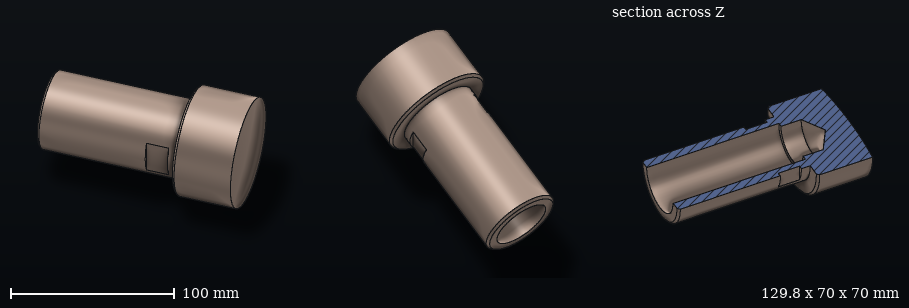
import cadquery as cq
import math

total_length = 129.8
head_diameter = 70.0
shank_diameter = 50.0
shank_length = 90.1
dome_height = 2.0
edge_chamfer = 1.5

bore_diameter = 36.0
bore_depth = shank_length
inner_bore_diameter = 30.0
inner_bore_depth = 103.8
drill_point_angle = 118.0

flat_start = 69.8
flat_length = 14.3
across_flats = 44.9

head_radius = head_diameter / 2
shank_radius = shank_diameter / 2
bore_radius = bore_diameter / 2
inner_bore_radius = inner_bore_diameter / 2


def make_body():
    """Revolve the outer profile, ending in a shallow spherical dome."""
    dome_edge = total_length - dome_height
    dome_radius = (head_radius**2 + dome_height**2) / (2 * dome_height)
    mid_radius = head_radius / 2
    mid_x = total_length - dome_radius + math.sqrt(dome_radius**2 - mid_radius**2)
    return (
        cq.Workplane("XY")
        .lineTo(0, shank_radius - edge_chamfer)
        .lineTo(edge_chamfer, shank_radius)
        .lineTo(shank_length, shank_radius)
        .lineTo(shank_length, head_radius - edge_chamfer)
        .lineTo(shank_length + edge_chamfer, head_radius)
        .lineTo(dome_edge, head_radius)
        .threePointArc((mid_x, mid_radius), (total_length, 0))
        .close()
        .revolve(360, (0, 0, 0), (1, 0, 0))
    )


def make_bore():
    """Revolve the stepped bore with its conical bottom."""
    point_length = inner_bore_radius / math.tan(math.radians(drill_point_angle / 2))
    return (
        cq.Workplane("XY")
        .lineTo(0, bore_radius)
        .lineTo(bore_depth, bore_radius)
        .lineTo(bore_depth, inner_bore_radius)
        .lineTo(inner_bore_depth, inner_bore_radius)
        .lineTo(inner_bore_depth + point_length, 0)
        .close()
        .revolve(360, (0, 0, 0), (1, 0, 0))
    )


def make_flat_cutter(side):
    """Block that removes the shank beyond one wrench flat; side is -1 or 1."""
    block_depth = shank_radius
    return cq.Workplane("XY").box(flat_length, block_depth, shank_diameter).translate(
        (flat_start + flat_length / 2, side * (across_flats + block_depth) / 2, 0)
    )


result = make_body().cut(make_bore())
for side in (-1, 1):
    result = result.cut(make_flat_cutter(side))